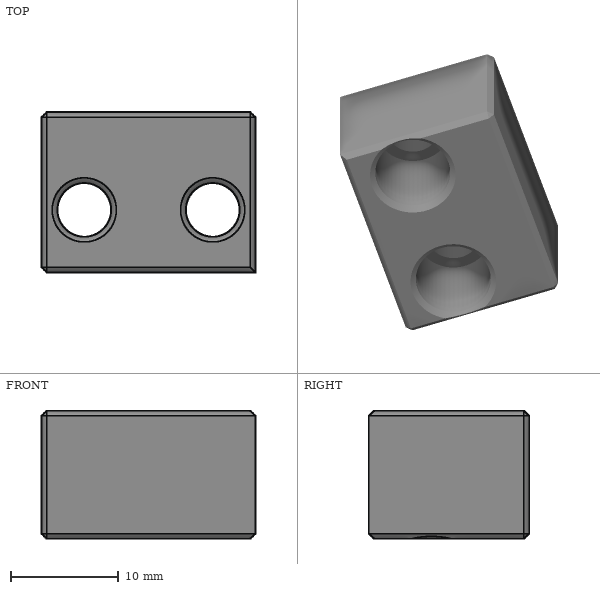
import cadquery as cq

length_x = 20.0
width_y = 15.0
height_z = 12.0
edge_chamfer = 0.5

hole_spacing = 12.0
hole_offset_y = -1.65
bore_diameter = 5.0
pocket_diameter = 7.0
web_thickness = 3.0
hole_chamfer = 0.5

top_z = height_z / 2
bottom_z = -height_z / 2
pocket_depth = height_z - web_thickness


def chamfered_block():
    """Box with every edge chamfered except the upright edge at +X, -Y."""
    box = cq.Workplane("XY").box(length_x, width_y, height_z)
    sharp_edge = cq.selectors.NearestToPointSelector((length_x / 2, -width_y / 2, 0))
    return box.edges(cq.selectors.InverseSelector(sharp_edge)).chamfer(edge_chamfer)


def upright_cylinder(diameter, start_z, depth):
    return cq.Workplane("XY").workplane(offset=start_z).circle(diameter / 2).extrude(depth)


def mouth_cone(diameter, face_z, inward):
    """Lead-in cone at a hole mouth; inward is +1 or -1 along Z."""
    cone = cq.Solid.makeCone(
        diameter / 2 + hole_chamfer,
        diameter / 2,
        hole_chamfer,
        pnt=cq.Vector(0, 0, face_z),
        dir=cq.Vector(0, 0, inward),
    )
    return cq.Workplane(cone)


def stepped_hole():
    """Cutting body for one hole, centred on the Z axis."""
    bore = upright_cylinder(bore_diameter, bottom_z, height_z)
    head_pocket = upright_cylinder(pocket_diameter, bottom_z, pocket_depth)
    top_mouth = mouth_cone(bore_diameter, top_z, -1)
    bottom_mouth = mouth_cone(pocket_diameter, bottom_z, 1)
    return bore.union(head_pocket).union(top_mouth).union(bottom_mouth)


result = chamfered_block()
for hole_x in (-hole_spacing / 2, hole_spacing / 2):
    result = result.cut(stepped_hole().translate((hole_x, hole_offset_y, 0)))